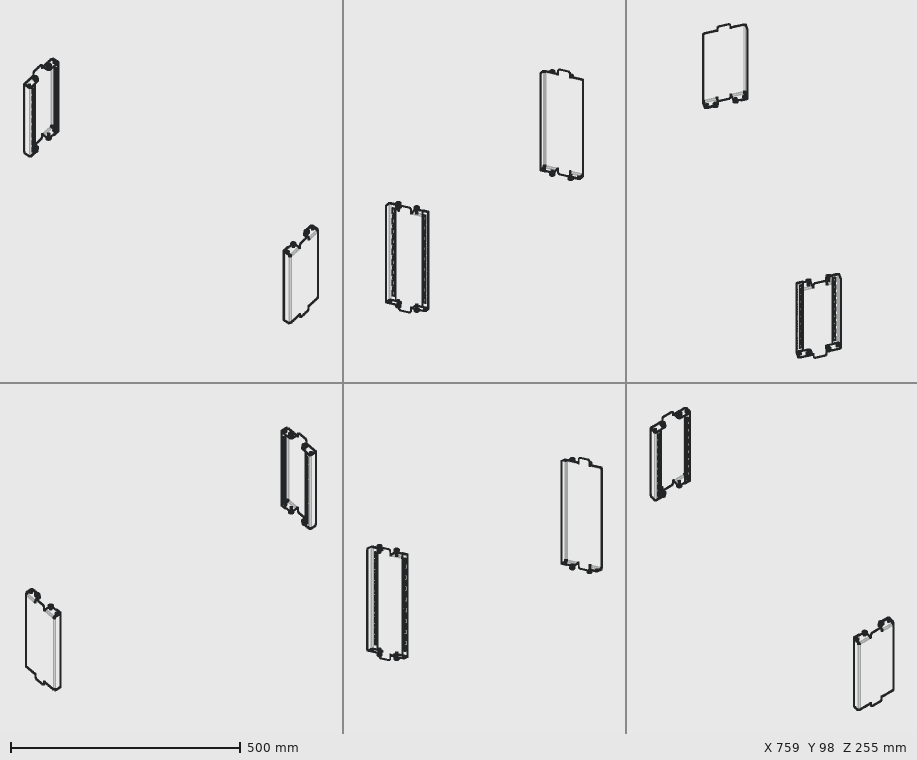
import cadquery as cq
import math

overall_length = 759.0
cover_width = 98.0
overall_height = 255.0

sheet = 1.5
bend_radius = 4.0
cover_depth = 21.0
lip_width = 16.0
wall_height = 235.0

slot_pitch = 25.0
slot_count = 9
slot_width = 5.0
slot_height = 12.0
round_diameter = 4.5
opening_y = 38.0

flange_top = 118.0
flange_depth = 19.0
flange_inner_y = 17.0
flange_outer_y = 45.5
flange_chamfer = 3.0
tab_half_width = 14.5
tab_chamfer = 3.0
hole_diameter = 4.0
hole_y = 42.0
hole_x = 12.0
screw_x = 13.0

screw_y = 23.0
shank_diameter = 4.5
head_diameter = 11.0
head_height = 4.5
head_chamfer = 2.0
socket_sides = 6
socket_width = 3.0
socket_depth = 3.0
shank_length = 12.0

half_height = overall_height / 2
plate_half_height = flange_top - bend_radius
inner_radius = bend_radius - sheet


def bent_flange():
    """Rounded L strip: it starts upright at the plate edge and turns inwards below Z = 0."""
    return (
        cq.Workplane("XZ")
        .moveTo(0, -bend_radius)
        .radiusArc((bend_radius, 0), bend_radius)
        .lineTo(flange_depth, 0)
        .lineTo(flange_depth, -sheet)
        .lineTo(bend_radius, -sheet)
        .radiusArc((sheet, -bend_radius), -inner_radius)
        .close()
        .extrude(flange_outer_y - flange_inner_y)
    )


def channel():
    """Plate, two side walls and two inward lips, as one bent profile along Z."""
    outer = (
        cq.Workplane("XY")
        .rect(cover_depth, cover_width)
        .extrude(wall_height)
        .edges("|Z")
        .fillet(bend_radius)
    )
    inner = (
        cq.Workplane("XY")
        .rect(cover_depth - 2 * sheet, cover_width - 2 * sheet)
        .extrude(wall_height)
        .edges("|Z")
        .fillet(inner_radius)
    )
    lip_opening = (
        cq.Workplane("XY")
        .center(cover_depth / 2, 0)
        .rect(cover_depth, cover_width - 2 * lip_width)
        .extrude(wall_height)
    )
    profile = outer.cut(inner).cut(lip_opening)
    return profile.translate((cover_depth / 2, 0, -wall_height / 2))


def corner_reliefs():
    """Clear the plate and its bends beyond the start of the end flange bends."""
    relief_height = half_height - plate_half_height
    relief = cq.Workplane("XY").box(bend_radius, cover_width, relief_height, centered=(False, True, False))
    top = relief.translate((0, 0, plate_half_height))
    return top.union(top.mirror("XY"))


def lip_openings():
    """Cutters through both lips: slots, with a round hole midway between neighbours."""
    lip_plane = cq.Workplane("YZ", origin=(cover_depth - 2 * sheet, 0, 0))
    depth = 3 * sheet
    slots = (
        lip_plane
        .rarray(2 * opening_y, slot_pitch, 2, slot_count)
        .rect(slot_width, slot_height)
        .extrude(depth)
    )
    round_holes = (
        lip_plane
        .rarray(2 * opening_y, slot_pitch, 2, slot_count - 1)
        .circle(round_diameter / 2)
        .extrude(depth)
    )
    return slots.union(round_holes)


def end_flange():
    """Upper flange on the +Y side, with its chamfered inner corner, its small hole and its screw hole."""
    flange = (
        bent_flange()
        .translate((0, flange_outer_y, flange_top))
        .edges("|Z and >X and <Y")
        .chamfer(flange_chamfer)
    )
    holes = (
        cq.Workplane("XY", origin=(0, 0, flange_top - bend_radius))
        .moveTo(hole_x, hole_y)
        .circle(hole_diameter / 2)
        .moveTo(screw_x, screw_y)
        .circle(shank_diameter / 2)
        .extrude(2 * bend_radius)
    )
    return flange.cut(holes)


def centre_tab():
    """Flat tongue running the full height, chamfered at its four corners."""
    return (
        cq.Workplane("XY")
        .box(sheet, 2 * tab_half_width, overall_height, centered=(False, True, True))
        .edges("|X")
        .chamfer(tab_chamfer)
    )


def make_cover():
    """One cover with its outer plate face at X = 0, open towards +X."""
    flange = end_flange()
    flange_pair = flange.union(flange.mirror("XZ"))
    flanges = flange_pair.union(flange_pair.mirror("XY"))
    return channel().cut(corner_reliefs()).cut(lip_openings()).union(centre_tab()).union(flanges)


def make_screw():
    """Upper screw on the Z axis, with a chamfered socket head on a plain shank."""
    head_base = half_height - head_height
    shank_end = head_base - shank_length
    head = (
        cq.Workplane("XY", origin=(0, 0, head_base))
        .circle(head_diameter / 2)
        .extrude(head_height)
        .faces(">Z")
        .chamfer(head_chamfer)
    )
    shank = (
        cq.Workplane("XY", origin=(0, 0, shank_end))
        .circle(shank_diameter / 2)
        .extrude(shank_length)
    )
    socket = (
        cq.Workplane("XY", origin=(0, 0, half_height - socket_depth))
        .polygon(socket_sides, socket_width / math.cos(math.pi / socket_sides))
        .extrude(socket_depth)
    )
    return head.union(shank).cut(socket)


left_cover = make_cover().translate((-overall_length / 2, 0, 0))
covers = [left_cover, left_cover.mirror("YZ")]

upper_screw = make_screw()
lower_screw = upper_screw.mirror("XY")
screw_offset = overall_length / 2 - screw_x
screws = []
for x in (-screw_offset, screw_offset):
    for y in (-screw_y, screw_y):
        for screw in (upper_screw, lower_screw):
            screws.append(screw.translate((x, y, 0)))

result = cq.Compound.makeCompound([body.val() for body in covers + screws])